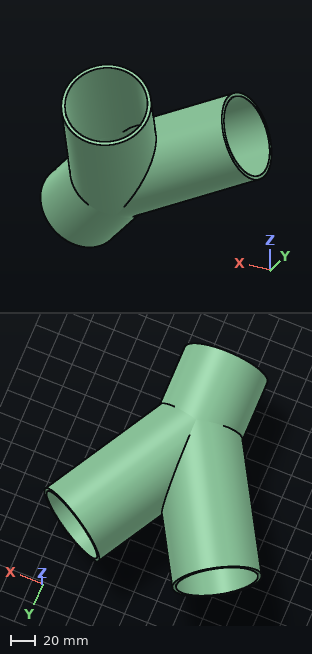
import cadquery as cq
import math

outer_diameter = 73.0
bore_diameter = 67.0
branch_angle = 30
total_length = 191.7
branch_length = 127.0

angle = math.radians(branch_angle)
branch_reach = branch_length * math.cos(angle) + outer_diameter / 2 * math.sin(angle)
inlet_length = total_length - branch_reach


def rod(diameter, length, direction):
    """Solid cylinder that starts at the junction of the three axes."""
    return cq.Workplane(cq.Solid.makeCylinder(diameter / 2, length, cq.Vector(0, 0, 0), direction))


def wye(diameter):
    """Inlet along -Y joined to two branches tilted either side of +Y."""
    body = rod(diameter, inlet_length, cq.Vector(0, -1, 0))
    for side in (-1, 1):
        direction = cq.Vector(side * math.sin(angle), math.cos(angle), 0)
        body = body.union(rod(diameter, branch_length, direction))
    return body


result = wye(outer_diameter).cut(wye(bore_diameter))